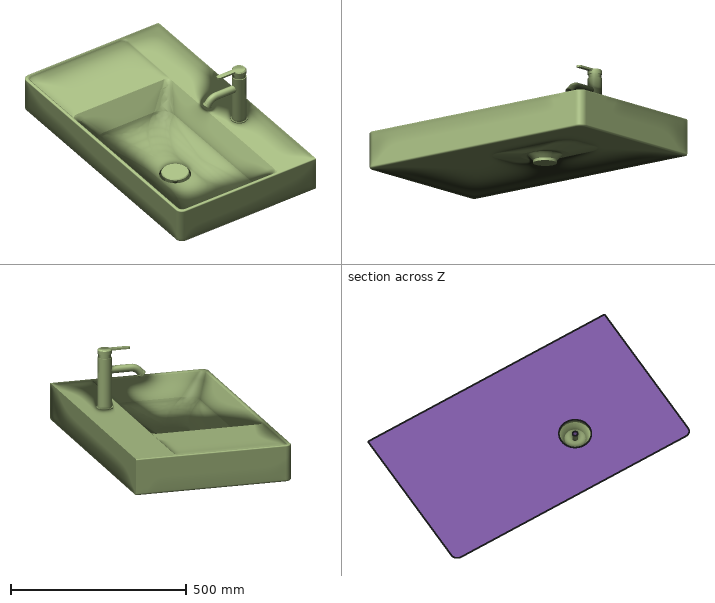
import cadquery as cq
import math

BASIN_WIDTH = 800.0
BASIN_DEPTH = 469.5
BASIN_HEIGHT = 108.0
FRONT_CORNER_RADIUS = 21.0
TOP_EDGE_RADIUS = 3.0
BOTTOM_EDGE_RADIUS = 5.5

RIM = 8.0
BACK_LEDGE = 120.0
RECESS_CORNER_RADIUS = 16.0
BEVEL_WIDTH = 4.0
BEVEL_DEPTH = 3.0
recess_length = BASIN_WIDTH - 2 * RIM
recess_width = BASIN_DEPTH - BACK_LEDGE - RIM
recess_y = RIM + recess_width / 2
mouth_z = BASIN_HEIGHT - BEVEL_DEPTH
mouth_inset = RIM + BEVEL_WIDTH
mouth_width = recess_width - 2 * BEVEL_WIDTH

SHELF_DEPTH = 12.0
SHELF_FLOOR_RADIUS = 8.0
SHELF_BACK_INSET = 4.0
SHELF_LIP_RADIUS = 23.0
SHELF_OVERRUN = 4.0
shelf_z = BASIN_HEIGHT - SHELF_DEPTH

DRAIN_X = 516.0
DRAIN_FROM_BACK = 293.0
drain_y = BASIN_DEPTH - DRAIN_FROM_BACK
drain_axis = (DRAIN_X, drain_y)
BOWL_LEFT = 234.0
bowl_right = BASIN_WIDTH - mouth_inset
mouth_centre = ((BOWL_LEFT + bowl_right) / 2, recess_y)
BOWL_MOUTH = ((bowl_right - BOWL_LEFT) / 2, mouth_width / 2, RECESS_CORNER_RADIUS, mouth_z)
BOWL_CREASE = (233.5, 127.0, 40.0, 45.0)
BOWL_CURVE = (204.0, 89.5, 43.0, 19.0)
BOWL_FLOOR = (148.0, 62.0, 46.0, 6.0)
BOWL_BOTTOM = (96.0, 51.0, 48.0, 3.0)

BULGE_DROP = 9.0
BULGE_TOP = (156.0, 80.0, 48.0, 0.0)
BULGE_BOTTOM = (72.0, 54.0, 48.0, -BULGE_DROP)

DRAIN_HOLE_RADIUS = 45.5
CUP_TOP_RADIUS = 49.5
CUP_BASE_RADIUS = 34.0
CUP_BASE_HEIGHT = 8.0
CUP_BOTTOM_Z = -32.0
CUP_WALL = 4.0
PLUG_RADIUS = 40.0
PLUG_TOP_Z = 12.0
PLUG_THICKNESS = 6.0
PLUG_CHAMFER = 2.0
PLUG_STEM_RADIUS = 8.0

FAUCET_FROM_BACK = 72.0
faucet_y = BASIN_DEPTH - FAUCET_FROM_BACK
FAUCET_TOP_Z = 284.0
COLUMN_RADIUS = 21.0
FLANGE_RADIUS = 24.0
FLANGE_THICKNESS = 3.0
FLANGE_HEIGHT = 8.0
COLUMN_TOP_Z = 258.0
NECK_RADIUS = 18.0
NECK_HEIGHT = 12.0
CAP_CHAMFER = 3.0
LEVER_REACH = 76.0
LEVER_WIDTH = 14.0
LEVER_THICKNESS = 5.5
LEVER_TIP_RADIUS = 6.0

SPOUT_RADIUS = 11.0
SPOUT_Z = 220.0
SPOUT_STRAIGHT = 78.0
SPOUT_BEND_RADIUS = 32.0
SPOUT_BEND_ANGLE = 50.0
SPOUT_TIP_LENGTH = 8.0
AERATOR_RADIUS = 13.0
AERATOR_LENGTH = 6.0


def rounded_section(centre, half_length, half_width, radius, z):
    """Horizontal rounded rectangle."""
    return (
        cq.Sketch().rect(2 * half_length, 2 * half_width).vertices().fillet(radius)
        .moved(cq.Location(cq.Vector(*centre, z)))
    )


def loft_through(*sections):
    return cq.Workplane("XY").placeSketch(*sections).loft()


def drain_centred_loft(*levels):
    """Solid that runs through rounded rectangles centred on the drain axis."""
    return loft_through(*[rounded_section(drain_axis, *level) for level in levels])


def disc(x, y, z, radius, height):
    return cq.Workplane("XY", origin=(x, y, z)).circle(radius).extrude(height)


def faucet_disc(z, radius, height):
    return disc(DRAIN_X, faucet_y, z, radius, height)


def make_recess_bevel():
    """Cavity of the bevel around the whole recess."""
    centre = (BASIN_WIDTH / 2, recess_y)
    top = (recess_length / 2, recess_width / 2, RECESS_CORNER_RADIUS, BASIN_HEIGHT)
    bottom = (recess_length / 2 - BEVEL_WIDTH, mouth_width / 2, RECESS_CORNER_RADIUS, mouth_z)
    return loft_through(rounded_section(centre, *top), rounded_section(centre, *bottom))


def make_shelf_pocket():
    """Cavity above the shelf, whose right end rolls over tangent to the bowl's left wall."""
    crease_left = DRAIN_X - BOWL_CREASE[0]
    wall_run_per_drop = (crease_left - BOWL_LEFT) / (mouth_z - BOWL_CREASE[3])
    lip_turn = math.atan2(1, wall_run_per_drop)

    def lip_offset(turn):
        return SHELF_LIP_RADIUS * math.sin(turn), SHELF_LIP_RADIUS * (math.cos(turn) - 1)

    middle_dx, middle_dz = lip_offset(lip_turn / 2)
    end_dx, end_dz = lip_offset(lip_turn)
    lip_end_z = shelf_z + end_dz
    lip_end_x = BOWL_LEFT + wall_run_per_drop * (mouth_z - lip_end_z)
    lip_start_x = lip_end_x - end_dx
    pocket_end_x = lip_end_x + SHELF_OVERRUN
    return (
        cq.Workplane("XZ", origin=(0, mouth_inset, 0))
        .moveTo(mouth_inset, mouth_z)
        .lineTo(mouth_inset, shelf_z)
        .lineTo(lip_start_x, shelf_z)
        .threePointArc((lip_start_x + middle_dx, shelf_z + middle_dz), (lip_end_x, lip_end_z))
        .lineTo(pocket_end_x, lip_end_z)
        .lineTo(pocket_end_x, mouth_z)
        .close()
        .extrude(SHELF_BACK_INSET - mouth_width)
        .edges("|Z and <X").fillet(RECESS_CORNER_RADIUS)
        .faces(cq.selectors.NearestToPointSelector((lip_start_x / 2, recess_y, shelf_z)))
        .edges("not >X").fillet(SHELF_FLOOR_RADIUS)
    )


def make_bowl():
    """Cavity of the bowl: steep walls down to a crease, then a curved floor."""
    wall = loft_through(
        rounded_section(mouth_centre, *BOWL_MOUTH), rounded_section(drain_axis, *BOWL_CREASE)
    )
    return wall.union(drain_centred_loft(BOWL_CREASE, BOWL_CURVE, BOWL_FLOOR, BOWL_BOTTOM))


def make_basin():
    block = (
        cq.Workplane("XY")
        .box(BASIN_WIDTH, BASIN_DEPTH, BASIN_HEIGHT, centered=False)
        .edges("|Z and <Y").fillet(FRONT_CORNER_RADIUS)
    )
    block = block.faces(">Z").edges("not >Y").fillet(TOP_EDGE_RADIUS)
    block = block.faces("<Z").edges("not >Y").fillet(BOTTOM_EDGE_RADIUS)
    bulge = drain_centred_loft(BULGE_TOP, BULGE_BOTTOM)
    drain_hole = disc(*drain_axis, -BULGE_DROP, DRAIN_HOLE_RADIUS, shelf_z)
    basin = block.union(bulge).cut(make_recess_bevel())
    return basin.cut(make_shelf_pocket()).cut(make_bowl()).cut(drain_hole)


def make_drain_cup():
    cone_end_z = CUP_BOTTOM_Z + CUP_BASE_HEIGHT
    outline = [
        (0, CUP_BOTTOM_Z),
        (CUP_BASE_RADIUS, CUP_BOTTOM_Z),
        (CUP_BASE_RADIUS, cone_end_z),
        (CUP_TOP_RADIUS, -BULGE_DROP),
        (CUP_TOP_RADIUS - CUP_WALL, -BULGE_DROP),
        (CUP_BASE_RADIUS - CUP_WALL, cone_end_z),
        (0, cone_end_z),
    ]
    return (
        cq.Workplane("XZ", origin=(DRAIN_X, drain_y, 0))
        .polyline(outline).close().revolve(360, (0, 0), (0, 1))
    )


def make_plug():
    plate_z = PLUG_TOP_Z - PLUG_THICKNESS
    cup_floor_z = CUP_BOTTOM_Z + CUP_BASE_HEIGHT
    plate = disc(DRAIN_X, drain_y, plate_z, PLUG_RADIUS, PLUG_THICKNESS)
    plate = plate.faces(">Z").edges().chamfer(PLUG_CHAMFER)
    return plate.union(disc(DRAIN_X, drain_y, cup_floor_z, PLUG_STEM_RADIUS, plate_z - cup_floor_z))


def make_faucet_flange():
    foot = faucet_disc(BASIN_HEIGHT, FLANGE_RADIUS, FLANGE_THICKNESS)
    return foot.union(faucet_disc(BASIN_HEIGHT, COLUMN_RADIUS, FLANGE_HEIGHT))


def spout_frame():
    """Bend midpoint, bend end, and unit direction of the tip, in (reach toward the front, z)."""
    angle = math.radians(SPOUT_BEND_ANGLE)

    def bend_point(turn):
        reach = SPOUT_STRAIGHT + SPOUT_BEND_RADIUS * math.sin(turn)
        return reach, SPOUT_Z - SPOUT_BEND_RADIUS * (1 - math.cos(turn))

    return bend_point(angle / 2), bend_point(angle), (math.cos(angle), -math.sin(angle))


def spout_tip():
    """Reach and z of the spout's end."""
    _, (reach, z), (direction_reach, direction_z) = spout_frame()
    return reach + SPOUT_TIP_LENGTH * direction_reach, z + SPOUT_TIP_LENGTH * direction_z


def make_column_with_spout():
    column_z = BASIN_HEIGHT + FLANGE_HEIGHT
    column = faucet_disc(column_z, COLUMN_RADIUS, COLUMN_TOP_Z - column_z)
    bend_middle, bend_end, _ = spout_frame()
    toward_front = cq.Plane(origin=(DRAIN_X, faucet_y, 0), xDir=(0, -1, 0), normal=(-1, 0, 0))
    path = (
        cq.Workplane(toward_front)
        .moveTo(0, SPOUT_Z)
        .lineTo(SPOUT_STRAIGHT, SPOUT_Z)
        .threePointArc(bend_middle, bend_end)
        .lineTo(*spout_tip())
    )
    spout = cq.Workplane("XZ", origin=(DRAIN_X, faucet_y, SPOUT_Z)).circle(SPOUT_RADIUS).sweep(path)
    return column.union(spout)


def make_aerator():
    reach, z = spout_tip()
    _, _, (direction_reach, direction_z) = spout_frame()
    tip_plane = cq.Plane(
        origin=(DRAIN_X, faucet_y - reach, z), xDir=(1, 0, 0), normal=(0, -direction_reach, direction_z)
    )
    return cq.Workplane(tip_plane).circle(AERATOR_RADIUS).extrude(AERATOR_LENGTH)


def make_neck():
    return faucet_disc(COLUMN_TOP_Z, NECK_RADIUS, NECK_HEIGHT)


def make_handle():
    cap_z = COLUMN_TOP_Z + NECK_HEIGHT
    cap = faucet_disc(cap_z, COLUMN_RADIUS, FAUCET_TOP_Z - cap_z)
    cap = cap.faces(">Z").edges().chamfer(CAP_CHAMFER)
    lever_z = FAUCET_TOP_Z - LEVER_THICKNESS
    lever = (
        cq.Workplane("XY", origin=(DRAIN_X, faucet_y - LEVER_REACH / 2, lever_z))
        .rect(LEVER_WIDTH, LEVER_REACH)
        .extrude(LEVER_THICKNESS)
        .edges("|Z and <Y").fillet(LEVER_TIP_RADIUS)
    )
    return cap.union(lever)


basin = make_basin()
drain_cup = make_drain_cup()
plug = make_plug()
faucet_flange = make_faucet_flange()
column_with_spout = make_column_with_spout()
aerator = make_aerator()
neck = make_neck()
handle = make_handle()

result = cq.Compound.makeCompound([
    basin.val(),
    drain_cup.val(),
    plug.val(),
    faucet_flange.val(),
    column_with_spout.val(),
    aerator.val(),
    neck.val(),
    handle.val(),
])